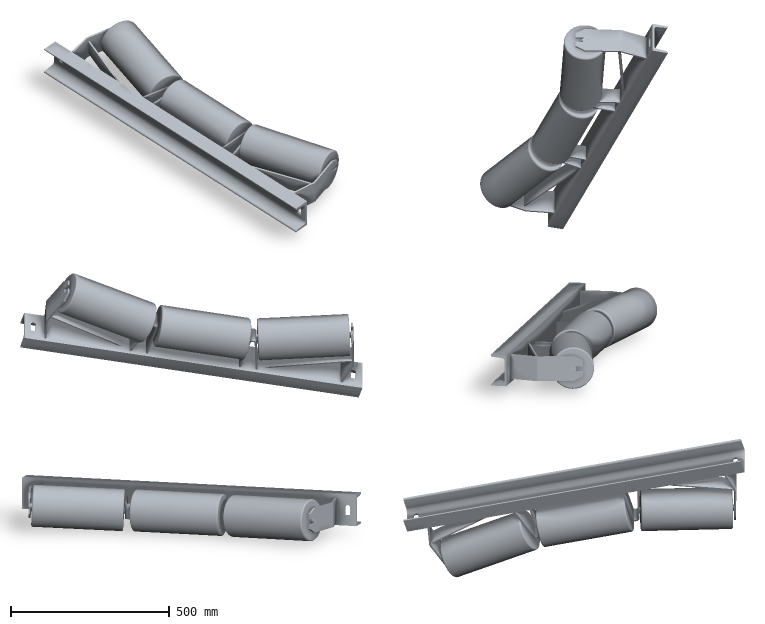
import cadquery as cq
import math

beam_length = 1100.0
beam_height = 100.0
beam_depth = 51.0
web_thickness = 6.0
flange_thickness = 8.5
flange_slope = 4.6
root_radius = 8.5
toe_radius = 4.5
slot_width = 16.0
slot_height = 33.0
slot_inset = 30.0

roller_diameter = 133.0
roller_length = 290.0
roller_edge_radius = 5.0
shaft_diameter = 20.0
shaft_flat_width = 15.0

centre_y = 115.0
centre_z = -14.0
wing_middle = (-320.0, 158.0, -8.0)
wing_angle = 14.8
wing_tilt = 2.6

plate_thickness = 6.0
outer_bracket_width = 79.0
inner_bracket_width = 50.0
outer_bend_radius = 9.0
inner_bend_radius = 5.0
outer_gap = 5.0
inner_gap = 3.0
outer_foot_x = -482.0
elbow_y = 89.0
outer_tip_y = 228.0
tip_chamfer_length = 28.0
tip_chamfer_depth = 15.0
bridge_top_y = 142.0

brace_thickness = 5.0
brace_width = 50.0
brace_head_y = 96.0
brace_foot_x = -239.0

half_plate = plate_thickness / 2
shaft_radius = shaft_diameter / 2
wing_lean = math.tan(math.radians(wing_angle))
below_web = -22.0


def make_profile():
    half_height = beam_height / 2
    half_taper = math.tan(math.radians(flange_slope)) * (beam_depth - web_thickness) / 2
    toe_z = half_height - flange_thickness + half_taper
    root_z = half_height - flange_thickness - half_taper
    profile = (
        cq.Workplane("YZ", origin=(-beam_length / 2, 0, 0))
        .moveTo(0, -half_height)
        .lineTo(-beam_depth, -half_height)
        .lineTo(-beam_depth, -toe_z)
        .lineTo(-web_thickness, -root_z)
        .lineTo(-web_thickness, root_z)
        .lineTo(-beam_depth, toe_z)
        .lineTo(-beam_depth, half_height)
        .lineTo(0, half_height)
        .close()
        .extrude(beam_length)
    )
    for z in (-root_z, root_z):
        profile = profile.edges(cq.NearestToPointSelector((0, -web_thickness, z))).fillet(root_radius)
    for z in (-toe_z, toe_z):
        profile = profile.edges(cq.NearestToPointSelector((0, -beam_depth, z))).fillet(toe_radius)
    return profile


def make_mounting_slot(x):
    """A cutter for one slot through the web, square below and round on top."""
    half_width = slot_width / 2
    shoulder_z = slot_height / 2 - half_width
    return (
        cq.Workplane("XZ", origin=(x, 0, 0))
        .moveTo(-half_width, -slot_height / 2)
        .lineTo(half_width, -slot_height / 2)
        .lineTo(half_width, shoulder_z)
        .threePointArc((0, slot_height / 2), (-half_width, shoulder_z))
        .close()
        .extrude(web_thickness)
    )


def make_beam():
    beam = make_profile()
    slot_x = beam_length / 2 - slot_inset
    for x in (-slot_x, slot_x):
        beam = beam.cut(make_mounting_slot(x))
    return beam


def make_shaft(left_reach, right_reach):
    """A flattened shaft along X that passes the roller faces by the two reaches."""
    length = roller_length + left_reach + right_reach
    start_x = -roller_length / 2 - left_reach
    bar = cq.Workplane("YZ", origin=(start_x, 0, 0)).circle(shaft_radius).extrude(length)
    flats = cq.Workplane("XY").box(2 * length, shaft_diameter, shaft_flat_width)
    return bar.intersect(flats)


def make_roller(left_gap, right_gap):
    """A roller along X, centred on the origin, with shaft ends flush with the bracket plates."""
    drum = (
        cq.Workplane("YZ", origin=(-roller_length / 2, 0, 0))
        .circle(roller_diameter / 2)
        .extrude(roller_length)
        .faces("<X or >X")
        .edges()
        .fillet(roller_edge_radius)
    )
    return drum.union(make_shaft(left_gap + plate_thickness, right_gap + plate_thickness))


def place_centre(body):
    return body.translate((0, centre_y, centre_z))


def place_wing(body):
    tilted = body.rotate((0, 0, 0), (0, 1, 0), wing_tilt)
    return tilted.rotate((0, 0, 0), (0, 0, 1), -wing_angle).translate(wing_middle)


def wing_plate_x(distance, y):
    """X at height y on the line square to the wing axis, a distance inwards from its middle."""
    middle_x, middle_y, _ = wing_middle
    return middle_x + distance / math.cos(math.radians(wing_angle)) + (y - middle_y) * wing_lean


def mitred_side(points, offset):
    """The polyline moved sideways by the offset, with its corners mitred."""
    normals = []
    for (x0, y0), (x1, y1) in zip(points, points[1:]):
        length = math.hypot(x1 - x0, y1 - y0)
        normals.append(((y0 - y1) / length, (x1 - x0) / length))
    before = normals[:1] + normals
    after = normals + normals[-1:]
    side = []
    for (x, y), (ax, ay), (bx, by) in zip(points, before, after):
        mitre = offset / (1 + ax * bx + ay * by)
        side.append((x + mitre * (ax + bx), y + mitre * (ay + by)))
    return side


def make_strip(points, thickness, width, bend_radius=0):
    """A bent strip around the centreline, trimmed flush with the web back."""
    left = mitred_side(points, thickness / 2)
    right = mitred_side(points, -thickness / 2)
    strip = (
        cq.Workplane("XY", origin=(0, 0, -width / 2))
        .polyline(left + right[::-1])
        .close()
        .extrude(width)
    )
    for i in range(1, len(points) - 1):
        (x0, y0), (x1, y1), (x2, y2) = points[i - 1 : i + 2]
        turns_left = (x1 - x0) * (y2 - y1) > (y1 - y0) * (x2 - x1)
        inside, outside = (left[i], right[i]) if turns_left else (right[i], left[i])
        for (x, y), radius in ((inside, bend_radius), (outside, bend_radius + thickness)):
            strip = strip.edges(cq.NearestToPointSelector((x, y, 0))).fillet(radius)
    below = cq.Workplane("XY").box(2 * beam_length, beam_length, 2 * width)
    return strip.cut(below.translate((0, -beam_length / 2, 0)))


def make_tip_corner(side):
    """A cutter for one sloping corner at the tip of the outer bracket."""
    edge_z = side * outer_bracket_width / 2
    return (
        cq.Workplane("YZ", origin=(-beam_length / 2, 0, 0))
        .moveTo(outer_tip_y - tip_chamfer_length, edge_z)
        .lineTo(outer_tip_y, edge_z - side * tip_chamfer_depth)
        .lineTo(2 * outer_tip_y, edge_z - side * tip_chamfer_depth)
        .lineTo(2 * outer_tip_y, edge_z)
        .close()
        .extrude(beam_length / 2)
    )


def make_outer_bracket():
    distance = -roller_length / 2 - outer_gap - half_plate
    elbow_x = wing_plate_x(distance, elbow_y)
    foot_lean = (elbow_x - outer_foot_x) / elbow_y
    centreline = [
        (outer_foot_x + below_web * foot_lean, below_web),
        (elbow_x, elbow_y),
        (wing_plate_x(distance, outer_tip_y), outer_tip_y),
    ]
    bracket = make_strip(centreline, plate_thickness, outer_bracket_width, outer_bend_radius)
    for side in (-1, 1):
        bracket = bracket.cut(make_tip_corner(side))
    reach = 2 * outer_gap + 2 * plate_thickness
    slot = cq.Workplane("XY").box(roller_length + 2 * reach, outer_tip_y, shaft_flat_width)
    slot = slot.translate((0, outer_tip_y / 2, 0)).union(make_shaft(reach, reach))
    return bracket.cut(place_wing(slot))


def make_inner_bracket():
    """A two-legged bracket that carries the centre roller and the wing roller beside it."""
    distance = roller_length / 2 + inner_gap + half_plate
    bridge_y = bridge_top_y - half_plate
    centreline = [
        (wing_plate_x(distance, below_web), below_web),
        (wing_plate_x(distance, bridge_y), bridge_y),
        (-distance, bridge_y),
        (-distance, below_web),
    ]
    bracket = make_strip(centreline, plate_thickness, inner_bracket_width, inner_bend_radius)
    bracket = bracket.translate((0, 0, centre_z))
    reach = inner_gap + 2 * plate_thickness
    for place in (place_centre, place_wing):
        bracket = bracket.cut(place(make_shaft(reach, reach)))
    return bracket


def make_brace(outer_bracket):
    head_x = wing_plate_x(-roller_length / 2 - outer_gap - half_plate, brace_head_y)
    slope = -brace_head_y / (brace_foot_x - head_x)
    centreline = [(head_x, brace_head_y), (brace_foot_x + below_web / slope, below_web)]
    brace = make_strip(centreline, brace_thickness, brace_width).cut(outer_bracket)
    return brace.solids(">X")


beam = make_beam()
centre_roller = place_centre(make_roller(inner_gap, inner_gap))
wing_roller = place_wing(make_roller(outer_gap, inner_gap))
outer_bracket = make_outer_bracket()
inner_bracket = make_inner_bracket()
brace = make_brace(outer_bracket)

bodies = [beam.solids().val(), centre_roller.solids().val()]
for body in (wing_roller, outer_bracket, inner_bracket, brace):
    bodies += [body.solids().val(), body.mirror("YZ").solids().val()]
result = cq.Compound.makeCompound(bodies)